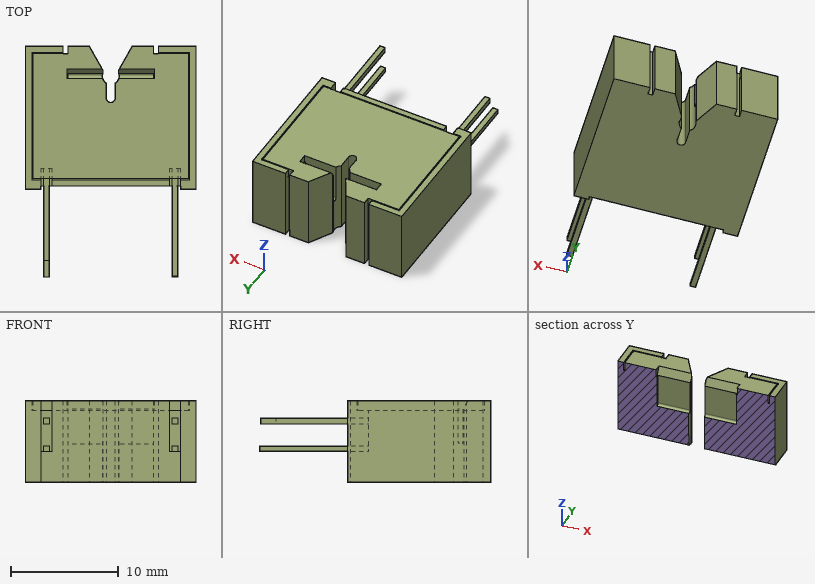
import cadquery as cq


width = 15.87
length = 21.5
height = 7.61

post_end = 13.34
front_wall_end = 13.04
post_inner_x = 6.5

side_wall = 0.6
gap = 0.1
lid_thickness = 0.9
lid_front = 12.35
tab_half = 3.98
slit_outer_x = 4.43

mouth_half = 2.0
throat_half = 0.7
throat_start = 2.28
bore_radius = 0.77
bore_depth = 2.8
slot_radius = 0.4
slot_tip = 5.25

pocket_half = 4.07
deep_slot_half = 3.98
pocket_back = 2.13
pocket_front = 3.03
pocket_depth = 0.75
pocket_slope_run = 0.45

notch_inner_x = 5.49
notch_depth = 4.7
notch_floor = height - notch_depth
channel_end = 11.4

lead_x = 5.98
lead_width = 0.54
upper_lead_height = 0.55
upper_lead_depth = 2.2
upper_lead_bottom = height - upper_lead_depth
lower_lead_height = 0.47
short_lead_end = 19.98
long_upper_lead_end = 21.42
lead_embed = 0.22


def block(x_start, x_end, near, far, bottom, top):
    """Box between two X values, two distances from the back face and two heights."""
    box = cq.Workplane("XY").box(x_end - x_start, far - near, top - bottom, centered=False)
    return box.translate((x_start, -far, bottom))


def on_both_sides(shape):
    return shape.union(shape.mirror("YZ"))


def make_housing():
    housing = block(-width / 2, width / 2, 0, post_end, 0, height)
    return housing.cut(block(-post_inner_x, post_inner_x, front_wall_end, post_end, 0, height))


def make_lid_groove():
    bottom = height - lid_thickness
    outer_half = width / 2 - side_wall
    outer = block(-outer_half, outer_half, side_wall, lid_front + gap, bottom, height)
    lid_half = outer_half - gap
    lid = block(-lid_half, lid_half, side_wall + gap, lid_front, bottom, height)
    tab = block(-tab_half, tab_half, 0, side_wall + gap, bottom, height)
    return outer.cut(lid).cut(tab)


def make_back_slits():
    return on_both_sides(block(tab_half, slit_outer_x, 0, side_wall + gap, 0, height))


def make_central_cut():
    mouth = (
        cq.Workplane("XY")
        .moveTo(-mouth_half, 0)
        .lineTo(-throat_half, -throat_start)
        .lineTo(-throat_half, -bore_depth)
        .lineTo(throat_half, -bore_depth)
        .lineTo(throat_half, -throat_start)
        .lineTo(mouth_half, 0)
        .close()
        .extrude(height)
    )
    bore = cq.Workplane("XY").center(0, -bore_depth).circle(bore_radius).extrude(height)
    slot_end = slot_tip - slot_radius
    slot = block(-slot_radius, slot_radius, bore_depth, slot_end, 0, height)
    tip = cq.Workplane("XY").center(0, -slot_end).circle(slot_radius).extrude(height)
    return mouth.union(bore).union(slot).union(tip)


def channel_along_x(profile, half):
    return profile.close().extrude(half, both=True)


def make_pockets():
    """A shallow pocket with a steep back slope, and a round-bottomed slot sunk from its front part."""
    slope_foot = pocket_back + pocket_slope_run
    shelf = height - pocket_depth
    shallow = (
        cq.Workplane("YZ")
        .moveTo(-pocket_back, height)
        .lineTo(-slope_foot, shelf)
        .lineTo(-pocket_front, shelf)
        .lineTo(-pocket_front, height)
    )
    floor_radius = (pocket_front - slope_foot) / 2
    floor_center = height / 2
    floor_mid = (-slope_foot - floor_radius, floor_center - floor_radius)
    deep = (
        cq.Workplane("YZ")
        .moveTo(-slope_foot, shelf)
        .lineTo(-slope_foot, floor_center)
        .threePointArc(floor_mid, (-pocket_front, floor_center))
        .lineTo(-pocket_front, shelf)
    )
    return channel_along_x(shallow, pocket_half).union(channel_along_x(deep, deep_slot_half))


def make_lead_notches():
    lid_bottom = height - lid_thickness
    notch = block(notch_inner_x, post_inner_x, lid_front, front_wall_end, notch_floor, height)
    channel = block(notch_inner_x, post_inner_x, channel_end, front_wall_end, notch_floor, lid_bottom)
    return on_both_sides(notch.union(channel))


def make_lead(center_x, end, bottom, lead_height):
    half = lead_width / 2
    root = channel_end - lead_embed
    return block(center_x - half, center_x + half, root, end, bottom, bottom + lead_height)


result = (
    make_housing()
    .cut(make_lid_groove())
    .cut(make_back_slits())
    .cut(make_central_cut())
    .cut(make_pockets())
    .cut(make_lead_notches())
)

for side, upper_end in ((-1, short_lead_end), (1, long_upper_lead_end)):
    x = side * lead_x
    result = result.union(make_lead(x, upper_end, upper_lead_bottom, upper_lead_height))
    result = result.union(make_lead(x, length, notch_floor, lower_lead_height))